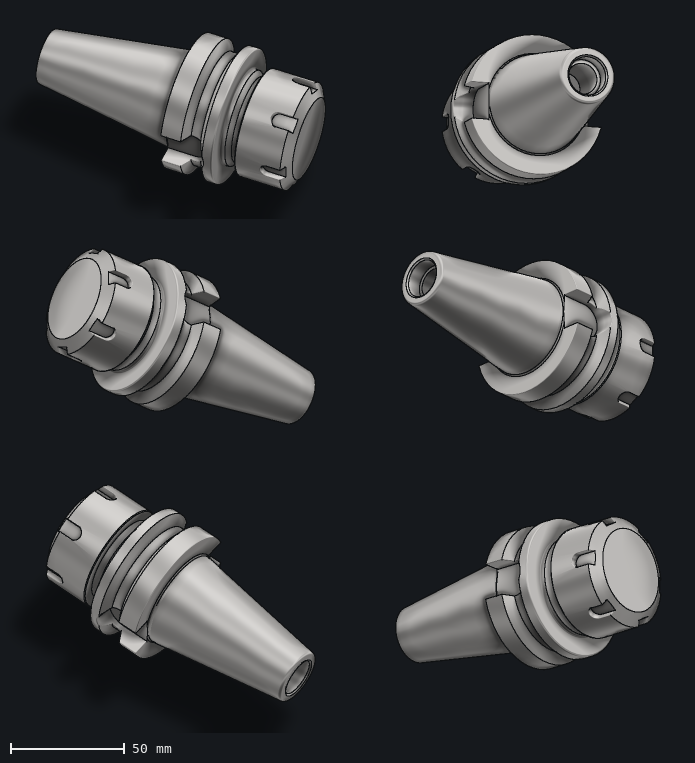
import cadquery as cq
import math


gauge_radius = 44.45 / 2
shank_length = 65.4
taper_ratio = 7 / 24
shank_end_radius = gauge_radius - shank_length * taper_ratio / 2
shank_end_fillet = 1.5

flange_radius = 63 / 2
flange_back = 2.0
flange_front = 27.0
flange_back_fillet = 0.4
flange_front_fillet = 0.9
flange_back_root_fillet = 0.7
flange_front_root_fillet = 0.9
groove_center = 16.75
groove_floor_width = 4.7
groove_floor_radius = 53 / 2
groove_flank_angle = 30
groove_flank_run = (flange_radius - groove_floor_radius) * math.tan(math.radians(groove_flank_angle))
groove_floor_back = groove_center - groove_floor_width / 2
groove_floor_front = groove_center + groove_floor_width / 2

neck_radius = 40 / 2
shoulder_front = 29.25
shoulder_run = gauge_radius - neck_radius

nut_radius = 50.04 / 2
nut_back = 34.9
nut_front = 60.1
nut_back_chamfer = 0.4
nut_nose_length = 3.45
nut_nose_radius = 19.0

drive_slot_count = 2
drive_slot_width = 16.1
drive_slot_end = 22.8
drive_slot_floor = 22.3
drive_slot_rim_fillet = 0.4

wrench_slot_count = 6
wrench_slot_width = 6.5
wrench_slot_end = 47.3
wrench_slot_floor = 22.0
wrench_slot_rim_fillet = 0.2

pilot_radius = 17.15 / 2
pilot_depth = 7.6
pilot_chamfer = 0.75
thread_radius = 13.84 / 2
bore_depth = 30.0

cutter_overshoot = 1.0


def turned_body():
    """Revolve the outer profile, then round its corners."""
    profile = [
        (-shank_length, 0),
        (-shank_length, shank_end_radius),
        (0, gauge_radius),
        (flange_back, gauge_radius),
        (flange_back, flange_radius),
        (groove_floor_back - groove_flank_run, flange_radius),
        (groove_floor_back, groove_floor_radius),
        (groove_floor_front, groove_floor_radius),
        (groove_floor_front + groove_flank_run, flange_radius),
        (flange_front, flange_radius),
        (flange_front, gauge_radius),
        (shoulder_front, gauge_radius),
        (shoulder_front + shoulder_run, neck_radius),
        (nut_back, neck_radius),
        (nut_back, nut_radius),
        (nut_front - nut_nose_length, nut_radius),
        (nut_front, nut_nose_radius),
        (nut_front, 0),
    ]
    body = cq.Workplane("XY").polyline(profile).close().revolve(360, (0, 0, 0), (1, 0, 0))

    def rim(x, radius):
        """Outermost circular edge at x, no larger than radius."""
        tolerance = 0.01
        corner = cq.selectors.BoxSelector(
            (x - tolerance, -radius - tolerance, -radius - tolerance),
            (x + tolerance, radius + tolerance, radius + tolerance),
            boundingbox=True,
        )
        largest = cq.selectors.RadiusNthSelector(-1)
        return body.edges(corner).edges("%CIRCLE").edges(largest)

    rounded_rims = [
        (-shank_length, shank_end_radius, shank_end_fillet),
        (flange_back, gauge_radius, flange_back_root_fillet),
        (flange_back, flange_radius, flange_back_fillet),
        (flange_front, flange_radius, flange_front_fillet),
        (flange_front, gauge_radius, flange_front_root_fillet),
    ]
    for x, radius, fillet in rounded_rims:
        body = rim(x, radius).fillet(fillet)
    return rim(nut_back, nut_radius).chamfer(nut_back_chamfer)


def cut_slots(body, count, open_x, end_x, width, floor_radius, outer_radius, rim_fillet):
    """Cut equally spaced slots, the first on the -Y side, and round their outer rims.

    Each slot is open toward open_x, with a full round at end_x and a flat floor.
    """
    half_width = width / 2
    toward_end = math.copysign(1, end_x - open_x)
    arc_center_x = end_x - toward_end * half_width
    cutter = (
        cq.Workplane("XZ", origin=(0, -floor_radius, 0))
        .moveTo(open_x, -half_width)
        .lineTo(arc_center_x, -half_width)
        .threePointArc((end_x, 0), (arc_center_x, half_width))
        .lineTo(open_x, half_width)
        .close()
        .extrude(outer_radius + cutter_overshoot - floor_radius)
    )
    tolerance = 0.05
    slot_region = cq.selectors.BoxSelector(
        (min(open_x, end_x) - tolerance, -outer_radius - tolerance, -half_width - tolerance),
        (max(open_x, end_x) + tolerance, -floor_radius + tolerance, half_width + tolerance),
        boundingbox=True,
    )

    def is_rim(edge):
        box = edge.BoundingBox()
        on_floor = box.ymin > -floor_radius - tolerance
        joins_wall_to_round = box.xlen < tolerance and abs(box.xmin - arc_center_x) < tolerance
        return not on_floor and not joins_wall_to_round

    for _ in range(count):
        body = body.cut(cutter)
        rims = [edge for edge in body.edges(slot_region).vals() if is_rim(edge)]
        body = body.newObject(rims).fillet(rim_fillet)
        body = body.rotate((0, 0, 0), (1, 0, 0), 360 / count)
    return body


def pull_stud_bore():
    mouth = -shank_length
    profile = [
        (mouth, 0),
        (mouth, pilot_radius + pilot_chamfer),
        (mouth + pilot_chamfer, pilot_radius),
        (mouth + pilot_depth, pilot_radius),
        (mouth + pilot_depth, thread_radius),
        (mouth + bore_depth, thread_radius),
        (mouth + bore_depth, 0),
    ]
    return cq.Workplane("XY").polyline(profile).close().revolve(360, (0, 0, 0), (1, 0, 0))


result = turned_body().cut(pull_stud_bore())
result = cut_slots(
    result,
    drive_slot_count,
    open_x=0,
    end_x=drive_slot_end,
    width=drive_slot_width,
    floor_radius=drive_slot_floor,
    outer_radius=flange_radius,
    rim_fillet=drive_slot_rim_fillet,
)
result = cut_slots(
    result,
    wrench_slot_count,
    open_x=nut_front,
    end_x=wrench_slot_end,
    width=wrench_slot_width,
    floor_radius=wrench_slot_floor,
    outer_radius=nut_radius,
    rim_fillet=wrench_slot_rim_fillet,
)